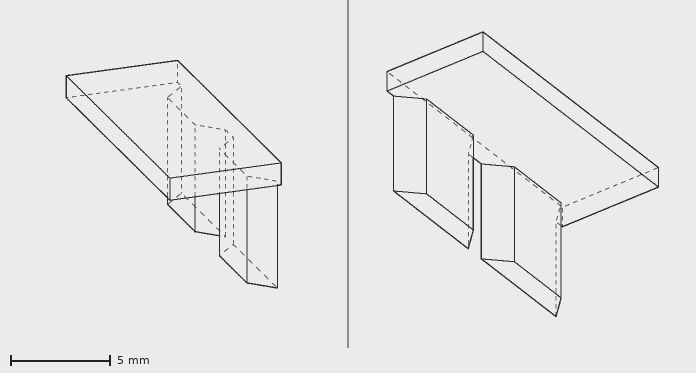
import cadquery as cq

plate_length = 15.0
plate_width = 6.0
plate_thickness = 1.2

overall_height = 7.0
leg_height = overall_height - plate_thickness
leg_thickness = 1.2
leg_front_width = 4.0
leg_back_width = leg_front_width + 2 * leg_thickness
leg_count = 2
leg_pitch = plate_length / leg_count


def make_plate():
    """Flat plate centred in X and Y, standing on top of the legs."""
    plate = cq.Workplane("XY").box(
        plate_length, plate_width, plate_thickness, centered=(True, True, False)
    )
    return plate.translate((0, 0, leg_height))


def make_leg(center_x):
    """Upright leg with a trapezoidal section, wider at the back."""
    back_y = plate_width / 2
    front_y = back_y - leg_thickness
    section = [
        (center_x - leg_back_width / 2, back_y),
        (center_x - leg_front_width / 2, front_y),
        (center_x + leg_front_width / 2, front_y),
        (center_x + leg_back_width / 2, back_y),
    ]
    return cq.Workplane("XY").polyline(section).close().extrude(leg_height)


result = make_plate()
for index in range(leg_count):
    leg_x = (index - (leg_count - 1) / 2) * leg_pitch
    result = result.union(make_leg(leg_x))